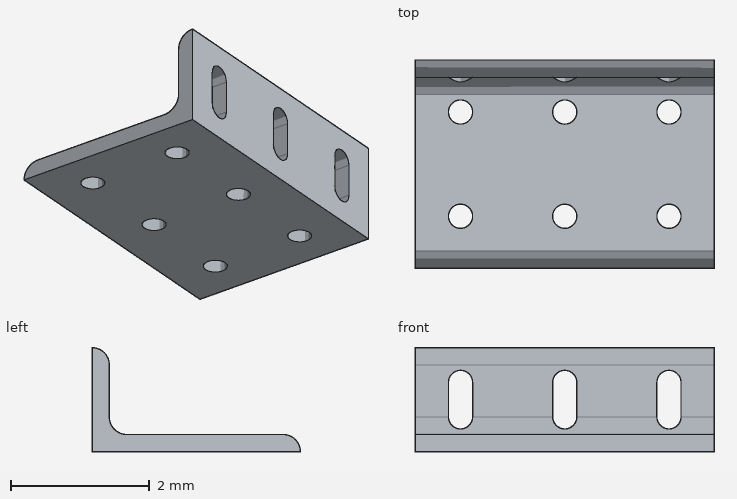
import cadquery as cq

length = 4.31
depth = 3.0
height = 1.5
thickness = 0.25
inner_radius = thickness

hole_diameter = 0.345
hole_pitch = height
columns = 3
rows = 2
slot_length = 0.84
slot_height = height / 2

back = depth / 2
front = -depth / 2
inner_face = back - thickness


def angle_body():
    """L-shaped bar with rounded leg tips and a filleted inner corner."""
    profile = (
        cq.Workplane("YZ")
        .moveTo(back, 0)
        .lineTo(back, height)
        .radiusArc((inner_face, height - thickness), -thickness)
        .lineTo(inner_face, thickness + inner_radius)
        .radiusArc((inner_face - inner_radius, thickness), inner_radius)
        .lineTo(front + thickness, thickness)
        .radiusArc((front, 0), -thickness)
        .close()
    )
    return profile.extrude(length / 2, both=True)


def base_holes():
    """Grid of round holes through the base leg, centred on its outline."""
    return (
        cq.Workplane("XY")
        .rarray(hole_pitch, hole_pitch, columns, rows)
        .circle(hole_diameter / 2)
        .extrude(height)
    )


def upright_slots():
    """Row of vertical slots through the upright leg."""
    return (
        cq.Workplane("XZ")
        .center(0, slot_height)
        .rarray(hole_pitch, hole_pitch, columns, 1)
        .slot2D(slot_length, hole_diameter, 90)
        .extrude(depth, both=True)
    )


result = angle_body().cut(base_holes()).cut(upright_slots())